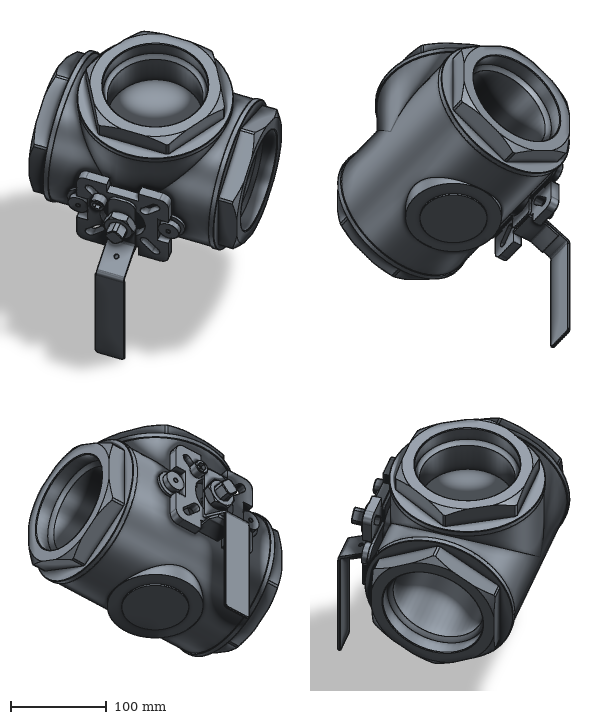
import cadquery as cq
import math


BODY_DIA = 160.0
RUN_END = 115.5
BRANCH_END = 109.3
BORE_DIA = 100.0
MOUTH_DIA = 110.0
MOUTH_DEPTH = 20.0
MOUTH_CHAMFER = 1.0
SHOULDER_HEIGHT = 4.0
BRANCH_DEPTH = 54.0

HEX_FLATS = 134.0
HEX_CORNER_DIA = 153.0
HEX_LENGTH = 20.5
HEX_BEVEL_DIA = 136.5
HEX_BEVEL_HEIGHT = 5.0

FLANGE_DIA = 163.0
FLANGE_THICKNESS = 6.0
FLANGE_CHAMFER = 0.5

BASE_DIA = BORE_DIA
BASE_DEPTH = 81.0
BADGE_DIA = 70.0
BADGE_HEIGHT = 2.0

PAD_FACE = 85.5
PAD_THICKNESS = 3.0
PLATE_BACK = PAD_FACE + PAD_THICKNESS
PLATE_THICKNESS = 10.0
PLATE_FRONT = PLATE_BACK + PLATE_THICKNESS
SHEET = 3.0
HANDLE_FRONT = PLATE_FRONT + SHEET
NUT_HEIGHT = 10.0
STEM_TIP = 124.2

COLLAR_DIA = 45.0
ARM_WIDTH = 30.5
ARM_HEIGHT = 71.5
ARM_CORNER = 4.0
EAR_X = 50.0
BUTTON_DIA = 23.0
BUTTON_NECK_DIA = 8.0
BUTTON_NECK = 1.2
BUTTON_HEIGHT = 6.5
BUTTON_TIP_DIA = 5.0
BUTTON_TIP = 1.0

STEM_DIA = 20.0
STEM_FLATS = 17.0
STEM_CHAMFER = 1.0

PLATE_SIZE = 102.0
PLATE_CORNER = 10.0
NOTCH_WIDTH = 35.2
NOTCH_FLOOR = 38.7
PLATE_HOLE_DIA = 50.0
SLOT_WIDTH = 10.0
SLOT_INNER = 35.0
SLOT_OUTER = 51.5

SCREW_DIA = SLOT_WIDTH
SCREW_HEAD_DIA = 16.0
SCREW_HEAD_HEIGHT = 10.5
SCREW_HEAD_CHAMFER = 1.0
SOCKET_FLATS = 8.5
SOCKET_DEPTH = 5.0
SOCKET_POINT = 2.3
SCREW_END = 70.3
SCREW_OFFSET = SLOT_INNER * math.cos(math.radians(45))

NUT_FLATS = 30.5
NUT_BEVEL_ANGLE = 30

HANDLE_WIDTH = 30.5
HANDLE_TOP = 35.0
HANDLE_CORNER = 10.0
HANDLE_REACH = 137.0
SLOPE_ANGLE = 26
BEND_Z = -33.0
BEND_RADIUS = 4.5
RIVET_HOLE_DIA = 5.0
RIVET_HOLE_Z = -41.0
GRIP_WIDTH = 32.8
GRIP_TOP = -54.0
GRIP_BOTTOM = BRANCH_END - 293
GRIP_CORNER = 4.0
GRIP_EDGE = 1.0
TAB_BACK = 85.8
TAB_Z = -40.5
TAB_WIDTH = 29.3
TAB_TIP = 123.5


def facing(depth):
    """Workplane at Y = -depth whose axes are X and Z and which extrudes toward -Y."""
    return cq.Workplane("XZ", origin=(0, -depth, 0))


def hexagon(plane, flats, height):
    return plane.polygon(6, flats / math.cos(math.pi / 6)).extrude(height)


def stem_bar(start, end):
    """Square bar on its corner, with its four corners turned down to STEM_DIA."""
    length = end - start
    square = facing(start).transformed(rotate=(0, 0, 45)).rect(STEM_FLATS, STEM_FLATS).extrude(length)
    return square.intersect(facing(start).circle(STEM_DIA / 2).extrude(length))


def port_end(face):
    """Flange and hexagon of one port, along +Z with the hexagon corners on X."""
    flange_top = face - HEX_LENGTH
    flange = (
        cq.Workplane("XY", origin=(0, 0, flange_top - FLANGE_THICKNESS))
        .circle(FLANGE_DIA / 2)
        .extrude(FLANGE_THICKNESS)
        .edges(">Z")
        .chamfer(FLANGE_CHAMFER)
    )
    hex_base = cq.Workplane("XY", origin=(0, 0, flange_top))
    envelope = (
        cq.Workplane("XZ")
        .moveTo(0, flange_top)
        .lineTo(HEX_CORNER_DIA / 2, flange_top)
        .lineTo(HEX_CORNER_DIA / 2, face - HEX_BEVEL_HEIGHT)
        .lineTo(HEX_BEVEL_DIA / 2, face)
        .lineTo(0, face)
        .close()
        .revolve(360, (0, 0), (0, 1))
    )
    return flange.union(hexagon(hex_base, HEX_FLATS, HEX_LENGTH).intersect(envelope))


def port_mouth(face):
    """Cutter for the wider mouth of one port and its tapered shoulder, along +Z."""
    radius = MOUTH_DIA / 2
    shoulder = face - MOUTH_DEPTH
    return (
        cq.Workplane("XZ")
        .moveTo(0, shoulder)
        .lineTo(BORE_DIA / 2, shoulder)
        .lineTo(radius, shoulder + SHOULDER_HEIGHT)
        .lineTo(radius, face - MOUTH_CHAMFER)
        .lineTo(radius + MOUTH_CHAMFER, face)
        .lineTo(0, face)
        .close()
        .revolve(360, (0, 0), (0, 1))
    )


def on_run(shape, angle):
    """Turn a +Z port shape onto the run axis."""
    return shape.rotate((0, 0, 0), (0, 1, 0), angle)


def make_pad():
    """Collar, cross-shaped pad and ear buttons on the stem side."""
    collar = facing(0).circle(COLLAR_DIA / 2).extrude(PAD_FACE)
    ears = facing(PAD_FACE).slot2D(2 * EAR_X + ARM_WIDTH, ARM_WIDTH).extrude(PAD_THICKNESS)
    arms = facing(PAD_FACE).rect(ARM_WIDTH, ARM_HEIGHT).extrude(PAD_THICKNESS)
    pad = collar.union(ears).union(arms.edges("|Y").fillet(ARM_CORNER))
    for x in (-EAR_X, EAR_X):
        depth = PLATE_BACK
        for diameter, height in (
            (BUTTON_NECK_DIA, BUTTON_NECK),
            (BUTTON_DIA, BUTTON_HEIGHT),
            (BUTTON_TIP_DIA, BUTTON_TIP),
        ):
            pad = pad.union(facing(depth).center(x, 0).circle(diameter / 2).extrude(height))
            depth += height
    return pad


def make_screw():
    head_end = PLATE_FRONT + SCREW_HEAD_HEIGHT
    shank = facing(SCREW_END).circle(SCREW_DIA / 2).extrude(PLATE_FRONT - SCREW_END)
    head = facing(PLATE_FRONT).circle(SCREW_HEAD_DIA / 2).extrude(SCREW_HEAD_HEIGHT)
    head = head.faces("<Y").edges().chamfer(SCREW_HEAD_CHAMFER)
    socket = hexagon(facing(head_end - SOCKET_DEPTH), SOCKET_FLATS, SOCKET_DEPTH)
    point = cq.Solid.makeCone(
        SOCKET_FLATS / 2, 0, SOCKET_POINT, cq.Vector(0, SOCKET_DEPTH - head_end, 0), cq.Vector(0, 1, 0)
    )
    return shank.union(head).cut(socket).cut(cq.Workplane(point)).translate((-SCREW_OFFSET, 0, SCREW_OFFSET))


def make_housing(screw):
    half_run = RUN_END - HEX_LENGTH - FLANGE_THICKNESS
    run = cq.Workplane("YZ").circle(BODY_DIA / 2).extrude(half_run, both=True)
    branch = cq.Workplane("XY").circle(BODY_DIA / 2).extrude(BRANCH_END - HEX_LENGTH - FLANGE_THICKNESS)
    base = cq.Workplane("XY").circle(BASE_DIA / 2).extrude(-BASE_DEPTH)
    badge = cq.Workplane("XY").circle(BADGE_DIA / 2).extrude(-BASE_DEPTH - BADGE_HEIGHT)
    housing = run.union(branch).union(base).union(badge).union(make_pad())
    housing = housing.union(port_end(BRANCH_END))
    for angle in (-90, 90):
        housing = housing.union(on_run(port_end(RUN_END), angle))

    housing = housing.cut(cq.Workplane("YZ").circle(BORE_DIA / 2).extrude(RUN_END, both=True))
    branch_floor = cq.Workplane("XY", origin=(0, 0, BRANCH_END - BRANCH_DEPTH))
    housing = housing.cut(branch_floor.circle(BORE_DIA / 2).extrude(BRANCH_DEPTH))
    housing = housing.cut(port_mouth(BRANCH_END))
    for angle in (-90, 90):
        housing = housing.cut(on_run(port_mouth(RUN_END), angle))

    stem = stem_bar(PLATE_BACK, STEM_TIP).faces("<Y").edges().chamfer(STEM_CHAMFER)
    return housing.union(stem).cut(screw)


def make_plate():
    plate = facing(PLATE_BACK).rect(PLATE_SIZE, PLATE_SIZE).extrude(PLATE_THICKNESS)
    plate = plate.edges("|Y").fillet(PLATE_CORNER)
    plate = plate.cut(facing(PLATE_BACK).circle(PLATE_HOLE_DIA / 2).extrude(PLATE_THICKNESS))
    notch = facing(PLATE_BACK).center(NOTCH_FLOOR + NOTCH_WIDTH / 2, 0)
    notch = notch.rect(NOTCH_WIDTH, NOTCH_WIDTH).extrude(PLATE_THICKNESS)
    slot = facing(PLATE_BACK).center((SLOT_INNER + SLOT_OUTER) / 2, 0)
    slot = slot.slot2D(SLOT_OUTER - SLOT_INNER + SLOT_WIDTH, SLOT_WIDTH).extrude(PLATE_THICKNESS)
    for quarter in range(4):
        angle = 90 * quarter
        plate = plate.cut(notch.rotate((0, 0, 0), (0, 1, 0), angle))
        plate = plate.cut(slot.rotate((0, 0, 0), (0, 1, 0), angle + 45))
    return plate


def make_nut():
    nut = hexagon(facing(HANDLE_FRONT), NUT_FLATS, NUT_HEIGHT)
    corner_radius = NUT_FLATS / 2 / math.cos(math.pi / 6)
    bevel_run = corner_radius - NUT_FLATS / 2
    envelope = facing(HANDLE_FRONT).circle(corner_radius).extrude(NUT_HEIGHT)
    bevel_rise = bevel_run * math.tan(math.radians(NUT_BEVEL_ANGLE))
    envelope = envelope.faces("<Y").edges().chamfer(bevel_rise, bevel_run)
    envelope = envelope.faces(">Y").edges().chamfer(bevel_rise, bevel_run)
    return nut.intersect(envelope).cut(facing(HANDLE_FRONT).circle(STEM_DIA / 2).extrude(NUT_HEIGHT))


def bent_sheet(width, points):
    """Sheet of the given width along a (Y, Z) centre line with rounded bends."""
    line = cq.Wire.makePolygon([(0, y, z) for y, z in points])
    path = line.fillet(BEND_RADIUS, line.Vertices()[1:-1])
    (start_y, start_z), (next_y, next_z) = points[:2]
    plane = cq.Plane((0, start_y, start_z), (1, 0, 0), (0, next_y - start_y, next_z - start_z))
    return cq.Workplane(plane).rect(width, SHEET).sweep(path)


def make_grip():
    """Wider lower end of the handle, with all its edges broken."""
    height = GRIP_TOP - GRIP_BOTTOM
    grip = facing(HANDLE_REACH - SHEET).center(0, GRIP_BOTTOM + height / 2)
    grip = grip.rect(GRIP_WIDTH, height).extrude(SHEET)
    grip = grip.edges("|Y and <Z").fillet(GRIP_CORNER)
    return grip.faces("<Y or >Y").edges().chamfer(GRIP_EDGE)


def make_handle():
    slope = math.radians(SLOPE_ANGLE)
    flat_y = -(PLATE_FRONT + SHEET / 2)
    grip_y = -(HANDLE_REACH - SHEET / 2)

    def slope_z(y):
        """Height of the sloped stretch's centre line."""
        return BEND_Z - (flat_y - y) * math.tan(slope)

    def slope_y(z):
        return flat_y - (BEND_Z - z) / math.tan(slope)

    lever = bent_sheet(
        HANDLE_WIDTH,
        [
            (flat_y, HANDLE_TOP),
            (flat_y, BEND_Z),
            (grip_y, slope_z(grip_y)),
            (grip_y, GRIP_TOP - SHEET),
        ],
    )
    lever = lever.faces(">Z").edges("|Y").fillet(HANDLE_CORNER)
    lever = lever.cut(stem_bar(PLATE_FRONT, HANDLE_FRONT))

    hole_plane = cq.Plane(
        (0, slope_y(RIVET_HOLE_Z), RIVET_HOLE_Z), (1, 0, 0), (0, -math.sin(slope), math.cos(slope))
    )
    lever = lever.cut(cq.Workplane(hole_plane).circle(RIVET_HOLE_DIA / 2).extrude(SHEET, both=True))

    layer_drop = SHEET / math.cos(slope)
    tab = bent_sheet(
        TAB_WIDTH,
        [
            (-TAB_BACK, TAB_Z),
            (slope_y(TAB_Z + layer_drop), TAB_Z),
            (-TAB_TIP, slope_z(-TAB_TIP) - layer_drop),
        ],
    )
    return lever.union(tab).union(make_grip())


screw = make_screw()
housing = make_housing(screw)
plate = make_plate()
nut = make_nut()
handle = make_handle()

result = cq.Compound.makeCompound([housing.val(), plate.val(), screw.val(), nut.val(), handle.val()])